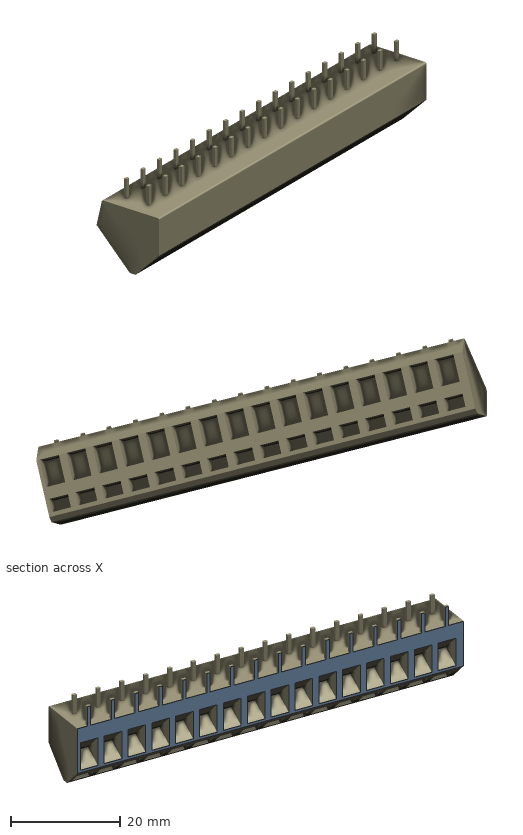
import cadquery as cq
import math


body_width = 14.27
body_length = 82.28
body_height = 13.0
front_corner_height = 7.6
rear_corner_height = 5.4
front_wall_lean = math.radians(13)
slope_angle = math.radians(45)
top_edge_radius = 0.3

left = -body_width / 2
right = body_width / 2
top_left = left + (body_height - front_corner_height) * math.tan(front_wall_lean)

pitch = 5.08
pole_count = 16
pin_height = 4.0
pin_size_x = 0.6
pin_size_y = 0.8
first_row_x = -2.9
row_xs = (first_row_x, first_row_x + pitch)
end_margin = pitch / 2
last_pole_y = body_length / 2 - end_margin
pole_ys = [last_pole_y - index * pitch for index in range(pole_count)]

pocket_width = 3.65
pocket_depth = 4.4
upper_pocket_bottom = 3.9
upper_pocket_top = 7.55
lower_pocket_bottom = 0.55
lower_pocket_top = 2.3
lip_rise = 0.55
floor_angle = math.radians(31)


def slope_point(height, depth=0.0):
    """Point (x, z) at the given height on the front slope, moved into the body by depth."""
    step = depth * math.cos(slope_angle)
    return left + front_corner_height - height + step, height + step


def extrude_along_y(points, length, center_y):
    """Prism with the given XZ outline, centred on center_y."""
    profile = cq.Workplane("XZ", origin=(0, center_y, 0)).polyline(points).close()
    return profile.extrude(length / 2, both=True)


def make_body():
    outline = [
        (left + front_corner_height, 0),
        (right - rear_corner_height, 0),
        (right, rear_corner_height),
        (right, body_height),
        (top_left, body_height),
        (left, front_corner_height),
    ]
    body = extrude_along_y(outline, body_length, 0)
    return body.faces(">Z").edges("|Y").fillet(top_edge_radius)


def make_pins():
    centers = [(x, y) for x in row_xs for y in pole_ys]
    top = cq.Workplane("XY", origin=(0, 0, body_height)).pushPoints(centers)
    return top.rect(pin_size_x, pin_size_y).extrude(pin_height)


def upper_pocket_outline():
    lip_depth = lip_rise / math.sin(slope_angle)
    lip_x, lip_z = slope_point(upper_pocket_bottom, lip_depth)
    floor_length = (pocket_depth - lip_depth) / math.cos(slope_angle - floor_angle)
    floor_end = (
        lip_x + floor_length * math.cos(floor_angle),
        lip_z + floor_length * math.sin(floor_angle),
    )
    return [
        slope_point(upper_pocket_bottom),
        (lip_x, lip_z),
        floor_end,
        slope_point(upper_pocket_top, pocket_depth),
        slope_point(upper_pocket_top),
    ]


def lower_pocket_outline():
    return [
        slope_point(lower_pocket_bottom),
        slope_point(lower_pocket_bottom, pocket_depth),
        slope_point(lower_pocket_top, pocket_depth),
        slope_point(lower_pocket_top),
    ]


result = make_body().union(make_pins())
for pole_y in pole_ys:
    for pocket_outline in (upper_pocket_outline(), lower_pocket_outline()):
        result = result.cut(extrude_along_y(pocket_outline, pocket_width, pole_y))